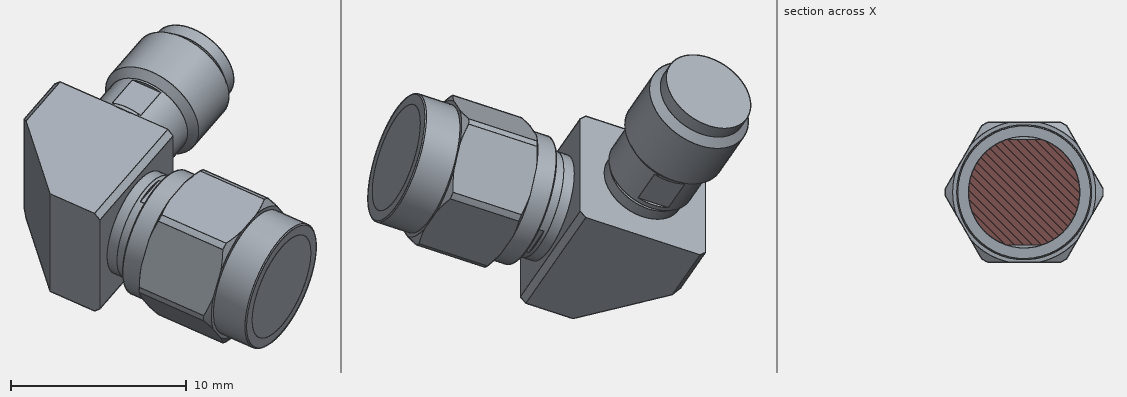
import cadquery as cq
import math


BLOCK_SIZE = 7.92
BLOCK_HALF = BLOCK_SIZE / 2
BLOCK_CHAMFER = 0.35
CORNER_CUT = 4.59

JACK_END = 12.64
JACK_COLLAR_RADIUS = 2.45
JACK_GROOVE_RADIUS = 2.15
JACK_BARREL_RADIUS = 2.67
JACK_HEAD_RADIUS = 3.12
HEAD_BEVEL = JACK_HEAD_RADIUS - JACK_BARREL_RADIUS
GROOVE_START = 4.7
BARREL_START = 5.03
HEAD_START = 7.62
HEAD_END = 11.83
JACK_FLAT_START = 5.31
FLAT_LENGTH = 2.17
JACK_FLAT_HEIGHT = 2.49

OVERALL_LENGTH = 17.65
PLUG_END = OVERALL_LENGTH - BLOCK_HALF
STEM_RADIUS = 3.18
STUB_END = 4.62
FERRULE_FLAT_START = 4.84
FERRULE_FLAT_HEIGHT = 3.02

NUT_START = 5.37
NUT_RADIUS = 3.85
NUT_EDGE_CHAMFER = 0.07
HEX_START = 6.69
HEX_END = 11.5
HEX_FLATS = 8.0
HEX_ROUND_RADIUS = 4.5
HEX_END_RADIUS = 4.08
HEX_BEVEL = 0.25
HEX_SIDES = 6
HEX_SHARP_CORNERS = HEX_FLATS / math.cos(math.pi / HEX_SIDES)


def x_cylinder(radius, start, end):
    """Cylinder on the plug axis between two X stations."""
    return cq.Workplane("YZ", origin=(start, 0, 0)).circle(radius).extrude(end - start)


def flat_cutters(half_height, size):
    """Boxes above and below the height of a pair of flats, centred on the origin in plan."""
    upper, lower = [
        cq.Workplane("XY").box(*size).translate((0, 0, side * (half_height + size[2] / 2)))
        for side in (1, -1)
    ]
    return upper.union(lower)


def make_block():
    """Square elbow block with a 45 degree outer corner and bevelled -X and +X edges."""
    block = cq.Workplane("XY").box(BLOCK_SIZE, BLOCK_SIZE, BLOCK_SIZE)
    block = block.faces("<X or >X").edges("|Y").chamfer(BLOCK_CHAMFER)
    corner = (
        cq.Workplane("XY", origin=(0, 0, -BLOCK_HALF))
        .moveTo(-BLOCK_HALF, -BLOCK_HALF)
        .line(CORNER_CUT, 0)
        .line(-CORNER_CUT, CORNER_CUT)
        .close()
        .extrude(BLOCK_SIZE)
    )
    return block.cut(corner)


def make_jack():
    """Turned jack: collar, groove, barrel with two flats, and a bevelled head."""
    profile = [
        (0, 0),
        (JACK_COLLAR_RADIUS, 0),
        (JACK_COLLAR_RADIUS, GROOVE_START),
        (JACK_GROOVE_RADIUS, GROOVE_START),
        (JACK_GROOVE_RADIUS, BARREL_START),
        (JACK_BARREL_RADIUS, BARREL_START),
        (JACK_BARREL_RADIUS, HEAD_START),
        (JACK_HEAD_RADIUS, HEAD_START + HEAD_BEVEL),
        (JACK_HEAD_RADIUS, HEAD_END - HEAD_BEVEL),
        (JACK_BARREL_RADIUS, HEAD_END),
        (JACK_BARREL_RADIUS, JACK_END),
        (0, JACK_END),
    ]
    jack = cq.Workplane("XY").polyline(profile).close().revolve(360, (0, 0, 0), (0, 1, 0))
    cutter_size = (2 * JACK_BARREL_RADIUS, FLAT_LENGTH, JACK_BARREL_RADIUS)
    flats = flat_cutters(JACK_FLAT_HEIGHT, cutter_size)
    return jack.cut(flats.translate((0, JACK_FLAT_START + FLAT_LENGTH / 2, 0)))


def make_housing():
    """Elbow block with the jack and the short plug stub as one piece."""
    stub = x_cylinder(STEM_RADIUS, 0, STUB_END)
    return make_block().union(make_jack()).union(stub)


def make_ferrule():
    """Plug ferrule that continues the stub through the nut, with two flats near its root."""
    ferrule = x_cylinder(STEM_RADIUS, STUB_END, PLUG_END)
    cutter_size = (FLAT_LENGTH, 2 * STEM_RADIUS, STEM_RADIUS)
    flats = flat_cutters(FERRULE_FLAT_HEIGHT, cutter_size)
    return ferrule.cut(flats.translate((FERRULE_FLAT_START + FLAT_LENGTH / 2, 0, 0)))


def make_hexagon():
    """Hexagon with flats facing +Z and -Z, its corners turned down and bevelled at both ends."""
    hexagon = (
        cq.Workplane("YZ", origin=(HEX_START, 0, 0))
        .polygon(HEX_SIDES, HEX_SHARP_CORNERS)
        .extrude(HEX_END - HEX_START)
    )
    envelope = [
        (HEX_START, 0),
        (HEX_START, HEX_END_RADIUS),
        (HEX_START + HEX_BEVEL, HEX_ROUND_RADIUS),
        (HEX_END - HEX_BEVEL, HEX_ROUND_RADIUS),
        (HEX_END, HEX_END_RADIUS),
        (HEX_END, 0),
    ]
    turned = cq.Workplane("XY").polyline(envelope).close().revolve(360, (0, 0, 0), (1, 0, 0))
    return hexagon.intersect(turned)


def make_nut():
    """Coupling nut: chamfered sleeve with a hexagon around it and a bore for the ferrule."""
    sleeve = x_cylinder(NUT_RADIUS, NUT_START, PLUG_END)
    sleeve = sleeve.faces("<X or >X").edges().chamfer(NUT_EDGE_CHAMFER)
    bore = x_cylinder(STEM_RADIUS, NUT_START, PLUG_END)
    return sleeve.union(make_hexagon()).cut(bore)


housing = make_housing()
ferrule = make_ferrule()
nut = make_nut()

result = cq.Compound.makeCompound([housing.val(), ferrule.val(), nut.val()])